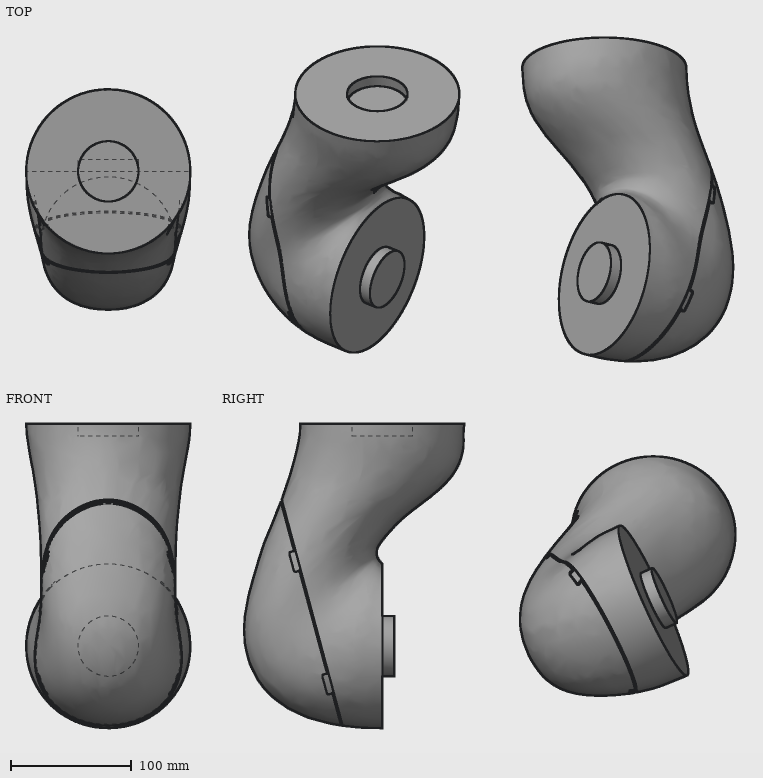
import math

import cadquery as cq

HEIGHT = 251.95
JOINT_RADIUS = 68.0
SPIGOT_RADIUS = 25.0
SPIGOT_LENGTH = 10.0
SOCKET_DEPTH = 10.0

SECTIONS = [
    ((0.0, 0.0), (0.0, 2 * JOINT_RADIUS), JOINT_RADIUS),
    ((-16.0, 0.38), (-0.6, 136.6), 67.6),
    ((-42.0, 3.6), (-1.7, 137.8), 66.9),
    ((-78.0, 16.5), (-3.0, 139.5), 62.2),
    ((-103.0, 40.0), (-4.0, 141.5), 57.3),
    ((-113.85, 70.0), (-4.5, 143.5), 55.6),
    ((-113.85, 93.0), (-4.5, 146.0), 55.6),
    ((-106.5, 126.0), (-3.5, 150.0), 55.8),
    ((-98.0, 153.0), (2.0, 158.0), 56.2),
    ((-87.0, 180.0), (19.0, 175.5), 57.9),
    ((-78.5, 203.0), (43.5, 194.5), 60.2),
    ((-73.5, 220.0), (61.0, 214.0), 63.2),
    ((-69.3, 238.0), (67.3, 236.0), 66.8),
    ((-JOINT_RADIUS, HEIGHT), (JOINT_RADIUS, HEIGHT), JOINT_RADIUS),
]

CORNER_FULLNESS = 0.042
FULLNESS_SKEW = 0.75
SECTION_POINTS = 24

SEAM_BOTTOM = (-33.5, 2.0)
SEAM_TOP = (-84.0, 189.5)
GROOVE_WIDTH = 1.2
RELIEF_DEPTH = 1.0

CLIP_LENGTH = 17.0
CLIP_WIDTH = 5.0
CLIP_CORNER_RADIUS = 1.5
CLIP_POSITIONS = (36.5, 141.5)

CUTTER_SPAN = 4 * JOINT_RADIUS


def section_wire(outer, inner, half_width, fullness, inset):
    """Oval section between an outer and an inner bend point, shrunk by inset.

    The half facing the inner bend is an ellipse; fullness swells the two diagonal
    corners of the half facing the outer bend.
    """
    dy = inner[0] - outer[0]
    dz = inner[1] - outer[1]
    half_depth = math.hypot(dy, dz) / 2 - inset
    centre = cq.Vector(0, (outer[0] + inner[0]) / 2, (outer[1] + inner[1]) / 2)
    inward = cq.Vector(0, dy, dz).normalized()
    across = cq.Vector(1, 0, 0)
    angles = [2 * math.pi * i / SECTION_POINTS for i in range(SECTION_POINTS + 1)]
    points = []
    for angle in angles[:-1]:
        swell = 1.0
        if math.cos(angle) < 0:
            swell += fullness * math.sin(2 * angle) ** 2
        depth_offset = inward * (swell * half_depth * math.cos(angle))
        width_offset = across * (swell * (half_width - inset) * math.sin(angle))
        points.append(centre + depth_offset + width_offset)
    edge = cq.Edge.makeSpline(points, periodic=True, parameters=angles)
    return cq.Wire.assembleEdges([edge])


def elbow(inset=0.0):
    """Smooth elbow through all sections; a positive inset gives a slimmer core."""
    last = len(SECTIONS) - 1
    wires = []
    for index, (outer, inner, half_width) in enumerate(SECTIONS):
        progress = (index / last) ** FULLNESS_SKEW
        fullness = CORNER_FULLNESS * math.sin(math.pi * progress) ** 2
        wires.append(section_wire(outer, inner, half_width, fullness, inset))
    return cq.Workplane(cq.Solid.makeLoft(wires))


def seam_plane():
    """Plane X = 0 with local x running up the seam and local y towards the cover."""
    direction = (0, SEAM_TOP[0] - SEAM_BOTTOM[0], SEAM_TOP[1] - SEAM_BOTTOM[1])
    return cq.Plane(origin=(0, *SEAM_BOTTOM), xDir=direction, normal=(1, 0, 0))


def seam_cutter():
    """Groove slab and clip bars running right through the body along X."""
    slab = cq.Workplane(seam_plane()).rect(2 * CUTTER_SPAN, GROOVE_WIDTH)
    cutter = slab.extrude(CUTTER_SPAN, both=True)
    for position in CLIP_POSITIONS:
        bar = (
            cq.Workplane(seam_plane())
            .center(position, CLIP_WIDTH / 2)
            .rect(CLIP_LENGTH, CLIP_WIDTH)
            .extrude(CUTTER_SPAN, both=True)
            .edges("|X")
            .fillet(CLIP_CORNER_RADIUS)
        )
        cutter = cutter.union(bar)
    return cutter


def spigot():
    """Round spigot standing out of the side face along +Y."""
    face_plane = cq.Plane(origin=(0, 0, JOINT_RADIUS), xDir=(1, 0, 0), normal=(0, 1, 0))
    return cq.Workplane(face_plane).circle(SPIGOT_RADIUS).extrude(SPIGOT_LENGTH)


def socket():
    """Blind round socket sunk into the top face."""
    return cq.Workplane("XY", origin=(0, 0, HEIGHT)).circle(SPIGOT_RADIUS).extrude(-SOCKET_DEPTH)


surface_relief = seam_cutter().cut(elbow(RELIEF_DEPTH))
result = elbow().cut(surface_relief).union(spigot()).cut(socket())